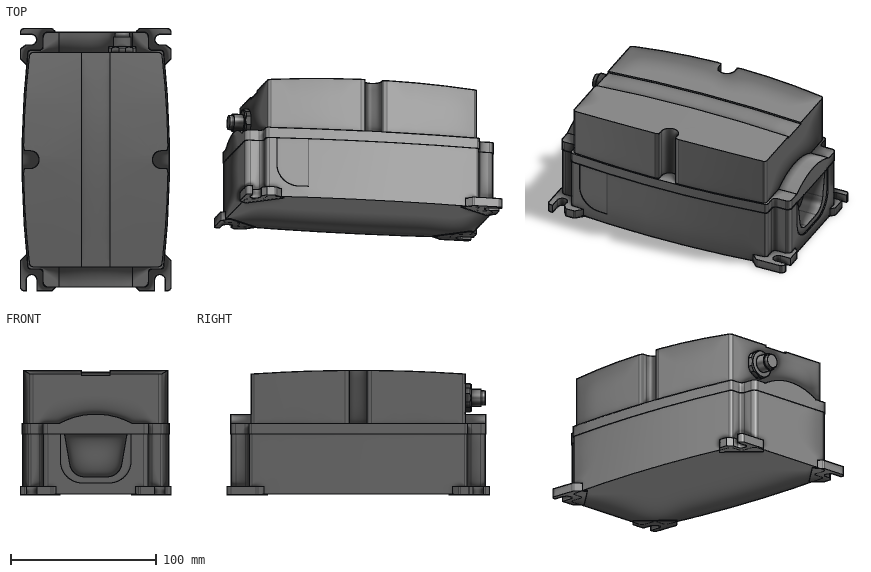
import cadquery as cq
import math

LENGTH = 181.0
WIDTH = 104.0
HEIGHT = 86.0

FOOT_HEIGHT = 6.0
BASE_BOTTOM = 0.5
SEAM_Z = 42.0
COLLAR_TOP = 49.2

COLLAR_LENGTH = 176.0
COLLAR_NECK_WIDTH = 72.8
COLLAR_SHOULDER_LENGTH = 151.0
COLLAR_SHOULDER_WIDTH = 93.4
COLLAR_MID_WIDTH = 101.7
BASE_INSET = 0.4
NECK_FILLET = 3.3
NECK_ROOT_FILLET = 2.7
SHOULDER_FILLET = 2.0

HOOD_LENGTH = 147.7
HOOD_END_WIDTH = 90.9
HOOD_MID_WIDTH = 99.5
HOOD_ROOF_DROP = 2.5
HOOD_FILLET = 2.4
ROOF_GROOVE_WIDTH = 19.7
ROOF_GROOVE_DEPTH = 1.18

NOTCH_RADIUS = 6.2
NOTCH_CENTRE_X = 45.2
NOTCH_MOUTH_HALF = 9.5
NOTCH_BEVEL_DEPTH = 0.5
NOTCH_LIP_FILLET = 0.5

ARCH_HALF_WIDTH = 25.3
ARCH_RISE = 6.5

RECESS_WIDTH = 48.7
RECESS_FLOOR_Z = 8.3
RECESS_RADIUS = 15.0
RECESS_DEPTH = 0.9
POCKET_TOP_WIDTH = 43.0
POCKET_BOTTOM_WIDTH = 33.0
POCKET_FLOOR_Z = 12.5
POCKET_RADIUS = 10.5
POCKET_DEPTH = 14.5

SIDE_FLAT_EDGE_Y = 68.0
SIDE_FLAT_FADE_Y = 46.3
SIDE_FLAT_DEPTH = 0.27

FOOT_LENGTH_X = 21.9
FOOT_LENGTH_Y = 20.8
FOOT_CORNER_FILLET = 2.9
FOOT_END_FILLET = 1.8
FOOT_INNER_X = 24.6
FOOT_INNER_Y = 62.6
SLOT_WIDTH = 7.2
SLOT_OFFSET = 7.8
SLOT_LENGTH = 11.2
SLOT_LEAD_IN = (3.8, 2.9)

CONNECTOR_X = 18.3
CONNECTOR_Z = 67.0
NUT_ACROSS_FLATS = 18.8
NUT_CORNER_DIAMETER = 19.7
NUT_THICKNESS = 4.2
NUT_CHAMFER_LENGTH = 1.0
NUT_FACE_DIAMETER = 18.3
STEM_DIAMETER = 12.0
STEM_LENGTH = 10.9
SPIGOT_DIAMETER = 10.1
SPIGOT_LENGTH = 2.9
SPIGOT_CHAMFER_LENGTH = 1.8
SPIGOT_TIP_DIAMETER = 9.6

SIGNS = (-1, 1)


def bowed_rectangle(end_width, mid_width, length):
    """Plan outline with straight ends and long sides that bow outward."""
    x = end_width / 2
    y = length / 2
    return (
        cq.Workplane("XY")
        .moveTo(-x, -y)
        .lineTo(x, -y)
        .threePointArc((mid_width / 2, 0), (x, y))
        .lineTo(-x, y)
        .threePointArc((-mid_width / 2, 0), (-x, -y))
        .close()
    )


def round_corners(body, x, y, radius):
    """Fillet the four vertical edges at (+-x, +-y)."""
    reach = 0.09
    for sign_x in SIGNS:
        for sign_y in SIGNS:
            box = cq.selectors.BoxSelector(
                (sign_x * x - reach, sign_y * y - reach, -HEIGHT),
                (sign_x * x + reach, sign_y * y + reach, HEIGHT),
            )
            body = body.edges("|Z").edges(box).fillet(radius)
    return body


def necked_block(inset, bottom, top):
    """Bowed block with a narrower neck at each end, offset inward by the inset."""
    shoulder_x = COLLAR_SHOULDER_WIDTH / 2 - inset
    shoulder_y = COLLAR_SHOULDER_LENGTH / 2 - inset
    neck_x = COLLAR_NECK_WIDTH / 2 - inset
    neck_y = COLLAR_LENGTH / 2 - inset
    height = top - bottom
    block = bowed_rectangle(2 * shoulder_x, COLLAR_MID_WIDTH - 2 * inset, 2 * shoulder_y).extrude(height)
    neck = cq.Workplane("XY").rect(2 * neck_x, 2 * neck_y).extrude(height)
    block = block.union(neck)
    block = round_corners(block, neck_x, neck_y, NECK_FILLET)
    block = round_corners(block, neck_x, shoulder_y, NECK_ROOT_FILLET)
    block = round_corners(block, shoulder_x, shoulder_y, SHOULDER_FILLET)
    return block.translate((0, 0, bottom))


def end_cut(top_width, bottom_width, floor_z, radius, start_y, end_y):
    """U-shaped cutter between two Y stations, open at the seam."""
    return (
        cq.Workplane("XZ", origin=(0, end_y, 0))
        .polyline([
            (-top_width / 2, SEAM_Z),
            (-bottom_width / 2, floor_z),
            (bottom_width / 2, floor_z),
            (top_width / 2, SEAM_Z),
        ])
        .close()
        .extrude(end_y - start_y)
        .faces("<Z")
        .edges("|Y")
        .fillet(radius)
    )


def wall_x(y):
    """Half width of the base's bowed side at a given Y."""
    mid = COLLAR_MID_WIDTH / 2 - BASE_INSET
    bow = (COLLAR_MID_WIDTH - COLLAR_SHOULDER_WIDTH) / 2
    half_chord = COLLAR_SHOULDER_LENGTH / 2 - BASE_INSET
    radius = (half_chord**2 + bow**2) / (2 * bow)
    return mid - radius + math.sqrt(radius**2 - y**2)


def side_flat_cut():
    """Thin wedge that flattens the -X wall near its rear end."""
    floor_x = -wall_x(SIDE_FLAT_EDGE_Y) + SIDE_FLAT_DEPTH
    return (
        cq.Workplane("XY", origin=(0, 0, RECESS_FLOOR_Z))
        .polyline([
            (-WIDTH / 2, SIDE_FLAT_EDGE_Y),
            (floor_x, SIDE_FLAT_EDGE_Y),
            (-wall_x(SIDE_FLAT_FADE_Y), SIDE_FLAT_FADE_Y),
            (-WIDTH / 2, SIDE_FLAT_FADE_Y),
        ])
        .close()
        .extrude(SEAM_Z - RECESS_FLOOR_Z)
        .faces(">Y")
        .edges("<Z")
        .fillet(RECESS_RADIUS)
    )


def make_base():
    base = necked_block(BASE_INSET, BASE_BOTTOM, SEAM_Z)
    front_y = -COLLAR_LENGTH / 2 + BASE_INSET
    recess_y = front_y + RECESS_DEPTH
    recess = end_cut(RECESS_WIDTH, RECESS_WIDTH, RECESS_FLOOR_Z, RECESS_RADIUS, front_y, recess_y)
    pocket = end_cut(
        POCKET_TOP_WIDTH, POCKET_BOTTOM_WIDTH, POCKET_FLOOR_Z, POCKET_RADIUS, front_y, recess_y + POCKET_DEPTH
    )
    return base.cut(recess).cut(pocket).cut(side_flat_cut())


def make_arch():
    """Crown across the collar, running its full length and merging into the hood."""
    return (
        cq.Workplane("XZ", origin=(0, COLLAR_LENGTH / 2, 0))
        .moveTo(-ARCH_HALF_WIDTH, COLLAR_TOP)
        .threePointArc((0, COLLAR_TOP + ARCH_RISE), (ARCH_HALF_WIDTH, COLLAR_TOP))
        .close()
        .extrude(COLLAR_LENGTH)
    )


def roof_space(lowering, width):
    """Region above the arched roof line, lowered by a given amount."""
    y = HOOD_LENGTH / 2
    eave = HEIGHT - HOOD_ROOF_DROP - lowering
    return (
        cq.Workplane("YZ", origin=(-width / 2, 0, 0))
        .moveTo(-y, eave)
        .threePointArc((0, HEIGHT - lowering), (y, eave))
        .lineTo(y, 2 * HEIGHT)
        .lineTo(-y, 2 * HEIGHT)
        .close()
        .extrude(width)
    )


def notch_cut():
    """Round-ended notch on the +X side with a bevelled and rounded mouth."""
    side_x = HOOD_MID_WIDTH / 2
    bevel_x = side_x - NOTCH_BEVEL_DEPTH
    lip_x = bevel_x - NOTCH_LIP_FILLET
    lip_y = NOTCH_RADIUS + NOTCH_LIP_FILLET
    lip_mid = NOTCH_LIP_FILLET * (1 - math.sqrt(0.5))
    return (
        cq.Workplane("XY", origin=(0, 0, COLLAR_TOP))
        .moveTo(WIDTH / 2, -NOTCH_MOUTH_HALF)
        .lineTo(side_x, -NOTCH_MOUTH_HALF)
        .lineTo(bevel_x, -lip_y)
        .threePointArc((bevel_x - lip_mid, -NOTCH_RADIUS - lip_mid), (lip_x, -NOTCH_RADIUS))
        .lineTo(NOTCH_CENTRE_X, -NOTCH_RADIUS)
        .threePointArc((NOTCH_CENTRE_X - NOTCH_RADIUS, 0), (NOTCH_CENTRE_X, NOTCH_RADIUS))
        .lineTo(lip_x, NOTCH_RADIUS)
        .threePointArc((bevel_x - lip_mid, NOTCH_RADIUS + lip_mid), (bevel_x, lip_y))
        .lineTo(side_x, NOTCH_MOUTH_HALF)
        .lineTo(WIDTH / 2, NOTCH_MOUTH_HALF)
        .close()
        .extrude(HEIGHT)
    )


def make_lid():
    collar = necked_block(0, SEAM_Z, COLLAR_TOP)
    hood = bowed_rectangle(HOOD_END_WIDTH, HOOD_MID_WIDTH, HOOD_LENGTH).extrude(HEIGHT - COLLAR_TOP)
    hood = hood.translate((0, 0, COLLAR_TOP))
    hood = hood.edges("|Z").fillet(HOOD_FILLET)
    hood = hood.cut(roof_space(0, WIDTH)).cut(roof_space(ROOF_GROOVE_DEPTH, ROOF_GROOVE_WIDTH))
    notch = notch_cut()
    hood = hood.cut(notch).cut(notch.mirror("YZ"))
    return collar.union(make_arch()).union(hood)


def foot_plate():
    """Foot at the (+X, +Y) corner, still unslotted."""
    x = WIDTH / 2
    y = LENGTH / 2
    end_x = x - FOOT_LENGTH_X
    end_y = y - FOOT_LENGTH_Y
    inner_x = x - (end_y - FOOT_INNER_Y)
    inner_y = y - (end_x - FOOT_INNER_X)
    return (
        cq.Workplane("XY")
        .polyline([
            (end_x, y),
            (x, y),
            (x, end_y),
            (inner_x, FOOT_INNER_Y),
            (FOOT_INNER_X, inner_y),
        ])
        .close()
        .extrude(FOOT_HEIGHT)
        .edges(">X and >Y")
        .fillet(FOOT_CORNER_FILLET)
        .edges("|Z")
        .edges(">X or >Y")
        .fillet(FOOT_END_FILLET)
    )


def slot_cut(length):
    """Round-ended slot along X whose round end is at the origin side, opening toward +X."""
    radius = SLOT_WIDTH / 2
    return (
        cq.Workplane("XY")
        .moveTo(length, -radius)
        .lineTo(radius, -radius)
        .threePointArc((0, 0), (radius, radius))
        .lineTo(length, radius)
        .close()
        .extrude(FOOT_HEIGHT)
    )


def make_rear_foot():
    """Foot whose slot opens sideways, with a lead-in on its inner lip."""
    x = WIDTH / 2
    slot_y = LENGTH / 2 - SLOT_OFFSET
    lip_y = slot_y - SLOT_WIDTH / 2
    lead_in = (
        cq.Workplane("XY")
        .polyline([(x, lip_y), (x - SLOT_LEAD_IN[0], lip_y), (x, lip_y - SLOT_LEAD_IN[1])])
        .close()
        .extrude(FOOT_HEIGHT)
    )
    slot = slot_cut(SLOT_LENGTH).translate((x - SLOT_LENGTH, slot_y, 0))
    return foot_plate().cut(slot).cut(lead_in)


def make_front_foot():
    """Foot whose slot opens toward the front end."""
    slot = slot_cut(SLOT_LENGTH).rotate((0, 0, 0), (0, 0, 1), 90)
    slot = slot.translate((WIDTH / 2 - SLOT_OFFSET, LENGTH / 2 - SLOT_LENGTH, 0))
    return foot_plate().cut(slot).mirror("XZ")


def make_feet():
    """Four feet around the base corners, each with a thin tongue under the base."""
    housing_space = necked_block(BASE_INSET, BASE_BOTTOM, SEAM_Z)
    feet = []
    for foot in (make_front_foot(), make_rear_foot()):
        foot = foot.cut(housing_space)
        feet.append(foot)
        feet.append(foot.mirror("YZ"))
    return feet


def on_hood_end():
    """Sketch plane at the connector, facing +Y from the hood's rear end."""
    return cq.Workplane("ZX", origin=(CONNECTOR_X, HOOD_LENGTH / 2, CONNECTOR_Z))


def make_nut():
    """Hexagon nut with a corner up, its corners turned down and its face coned."""
    hexagon = on_hood_end().polygon(6, NUT_ACROSS_FLATS / math.cos(math.pi / 6)).extrude(NUT_THICKNESS)
    turned = on_hood_end().circle(NUT_CORNER_DIAMETER / 2).extrude(NUT_THICKNESS)
    face_step = (NUT_CORNER_DIAMETER - NUT_FACE_DIAMETER) / 2
    turned = turned.faces(">Y").chamfer(NUT_CHAMFER_LENGTH, face_step)
    bore = on_hood_end().circle(STEM_DIAMETER / 2).extrude(NUT_THICKNESS)
    return hexagon.intersect(turned).cut(bore)


def make_connector():
    stem = on_hood_end().circle(STEM_DIAMETER / 2).extrude(STEM_LENGTH)
    spigot = on_hood_end().circle(SPIGOT_DIAMETER / 2).extrude(STEM_LENGTH + SPIGOT_LENGTH)
    tip_step = (SPIGOT_DIAMETER - SPIGOT_TIP_DIAMETER) / 2
    spigot = spigot.faces(">Y").chamfer(SPIGOT_CHAMFER_LENGTH, tip_step)
    return stem.union(spigot)


base = make_base()
lid = make_lid()
feet = make_feet()
nut = make_nut()
connector = make_connector()

result = cq.Compound.makeCompound([
    base.val(),
    lid.val(),
    *[foot.val() for foot in feet],
    nut.val(),
    connector.val(),
])